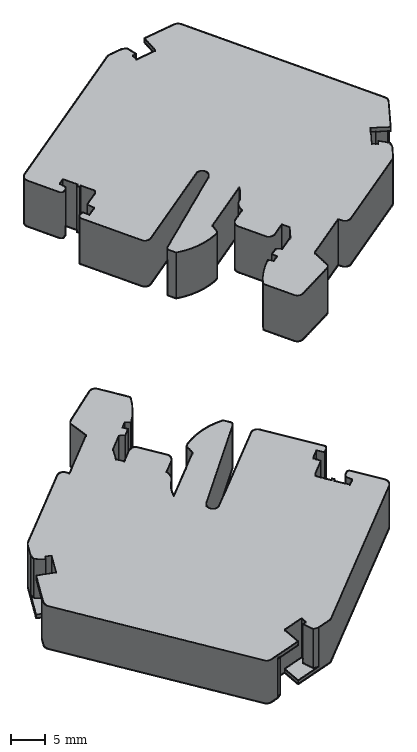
import cadquery as cq
import math

length = 47.45
body_width = 46.05
height = 41.5
thickness = 9.5
shoulder_y = 31.1
shoulder_angle = 60.0
slope_cos = math.cos(math.radians(shoulder_angle))
slope_sin = math.sin(math.radians(shoulder_angle))
shoulder_run = (height - shoulder_y) * slope_cos / slope_sin

left_foot_y = 3.3
lip_x = 6.65
groove_x = 5.4
groove_top = 5.9
nib_left, nib_right, nib_bottom = 7.85, 8.25, 5.55
centre_foot_left = 10.8
side_notch_x = 12.05
side_notch_bottom = 1.2
side_notch_top = 2.75
side_notch_mouth_top = 2.9
groove_bottom = 4.85
lip_top = 4.6

slot_left, slot_right = 22.05, 23.95
slot_shoulder_y = 15.75
slot_top = 16.5

leg_left, leg_toe = 25.05, 26.63
leg_right = 28.85
flank_top = 15.85
barb_x = 30.1
block_left, block_right = 31.28, 37.7
block_bottom, block_top = 8.75, 11.9
flank_foot_curve = (30.37, 12.6)
flank_middle = (30.05, 13.7)
flank_curve = (29.5, 14.85)
leg_curve = (28.95, 2.85)
barb_shoulder = 7.2
barb_top = 6.35
barb_bottom = 5.85

latch_inner = 39.95
latch_lip = 39.1
latch_toe = 40.65
latch_heel = 46.55
latch_outer = 44.45
latch_curve = (39.65, 2.2)
latch_shoulder = 8.9
tip_top = 7.45
tip_bottom = 6.85
latch_notch_mouth_bottom = 4.6
latch_notch_bottom = 4.85
latch_notch_top = 5.9
latch_lip_top = 7.1
latch_lip_shoulder = 7.5
recess_shoulder = 10.2
recess_right = 38.95

wall = 0.85
pocket_start = 6.25
pocket_depth = 2.95
mouth_reach = 3.95
lead_in_reach, lead_in_depth = 3.2, 0.3
throat_reach = 2.7
hook_reach, hook_depth = 3.27, 2.0
mouth_overlap = 0.47

shoulder_radius = 1.1
body_radius = 1.0
small_radius = 0.47


def make_outline():
    """Extruded side profile, starting at the left foot."""
    return (
        cq.Workplane("XY")
        .moveTo(0, left_foot_y)
        .lineTo(lip_x, left_foot_y)
        .lineTo(lip_x, lip_top)
        .lineTo(groove_x, groove_bottom)
        .lineTo(groove_x, groove_top)
        .lineTo(nib_left, groove_top)
        .lineTo(nib_left, nib_bottom)
        .lineTo(nib_right, nib_bottom)
        .lineTo(nib_right, groove_top)
        .lineTo(centre_foot_left, groove_top)
        .lineTo(centre_foot_left, side_notch_mouth_top)
        .lineTo(side_notch_x, side_notch_top)
        .lineTo(side_notch_x, side_notch_bottom)
        .lineTo(centre_foot_left, side_notch_bottom)
        .lineTo(centre_foot_left, 0)
        .lineTo(slot_left, 0)
        .lineTo(slot_left, slot_shoulder_y)
        .threePointArc(((slot_left + slot_right) / 2, slot_top), (slot_right, slot_shoulder_y))
        .lineTo(leg_left, 0)
        .lineTo(leg_toe, 0)
        .threePointArc(leg_curve, (barb_x, barb_bottom))
        .lineTo(barb_x, barb_top)
        .lineTo(leg_right, barb_shoulder)
        .lineTo(leg_right, flank_top)
        .threePointArc(flank_curve, flank_middle)
        .threePointArc(flank_foot_curve, (block_left, block_top))
        .lineTo(block_left, block_bottom)
        .lineTo(block_right, block_bottom)
        .lineTo(block_right, block_top)
        .lineTo(recess_right, block_top)
        .lineTo(latch_inner, recess_shoulder)
        .lineTo(latch_inner, latch_lip_shoulder)
        .lineTo(latch_lip, latch_lip_top)
        .lineTo(latch_lip, latch_notch_top)
        .lineTo(latch_inner, latch_notch_top)
        .lineTo(latch_inner, latch_notch_bottom)
        .lineTo(latch_lip, latch_notch_mouth_bottom)
        .threePointArc(latch_curve, (latch_toe, 0))
        .lineTo(latch_heel, 0)
        .lineTo(length, tip_bottom)
        .lineTo(length, tip_top)
        .lineTo(latch_outer, latch_shoulder)
        .lineTo(latch_outer, slot_top)
        .lineTo(body_width, slot_top)
        .lineTo(body_width, shoulder_y)
        .lineTo(body_width - shoulder_run, height)
        .lineTo(shoulder_run, height)
        .lineTo(0, shoulder_y)
        .close()
        .extrude(thickness)
    )


def round_corners(body, points, radius):
    """Fillet the upright edges standing on the given profile points."""
    reach = 0.05
    for x, y in points:
        selector = cq.selectors.BoxSelector(
            (x - reach, y - reach, -0.47), (x + reach, y + reach, thickness + 0.47)
        )
        body = body.edges("|Z").edges(selector).fillet(radius)
    return body


def pocket_prism(local_points, bottom, top):
    """Prism from (distance down the shoulder, depth into the body) points."""
    origin_x = pocket_start * slope_cos
    origin_y = shoulder_y + pocket_start * slope_sin
    points = [
        (
            origin_x - along * slope_cos + depth * slope_sin,
            origin_y - along * slope_sin - depth * slope_cos,
        )
        for along, depth in local_points
    ]
    return cq.Workplane("XY").workplane(offset=bottom).polyline(points).close().extrude(top - bottom)


def half_pocket(direction, bottom, top):
    """Hooked half pocket running down (+1) or up (-1) the shoulder from its middle."""
    profile = [
        (0, -mouth_overlap),
        (mouth_reach, -mouth_overlap),
        (mouth_reach, 0),
        (lead_in_reach, lead_in_depth),
        (throat_reach, hook_depth),
        (hook_reach, hook_depth),
        (hook_reach, pocket_depth),
        (0, pocket_depth),
    ]
    return pocket_prism([(direction * along, depth) for along, depth in profile], bottom, top)


def make_left_pocket():
    """Two mirrored half pockets: the lower opens upward, the upper opens downward."""
    opens_upward = half_pocket(1, wall, thickness)
    opens_downward = half_pocket(-1, 0, thickness - wall)
    return opens_upward.union(opens_downward)


body = make_outline()
body = round_corners(
    body,
    [(0, shoulder_y), (shoulder_run, height),
     (body_width - shoulder_run, height), (body_width, shoulder_y)],
    shoulder_radius,
)
body = round_corners(
    body,
    [(0, left_foot_y), (slot_left, 0), (latch_heel, 0),
     (block_left, block_bottom), (block_right, block_bottom), (body_width, slot_top)],
    body_radius,
)
body = round_corners(
    body,
    [(lip_x, left_foot_y), (lip_x, lip_top), (centre_foot_left, groove_top),
     (centre_foot_left, 0), (leg_left, 0), (latch_toe, 0), (length, tip_top)],
    small_radius,
)

left_pocket = make_left_pocket()
right_pocket = left_pocket.mirror("YZ").translate((body_width, 0, 0))
result = body.cut(left_pocket).cut(right_pocket)